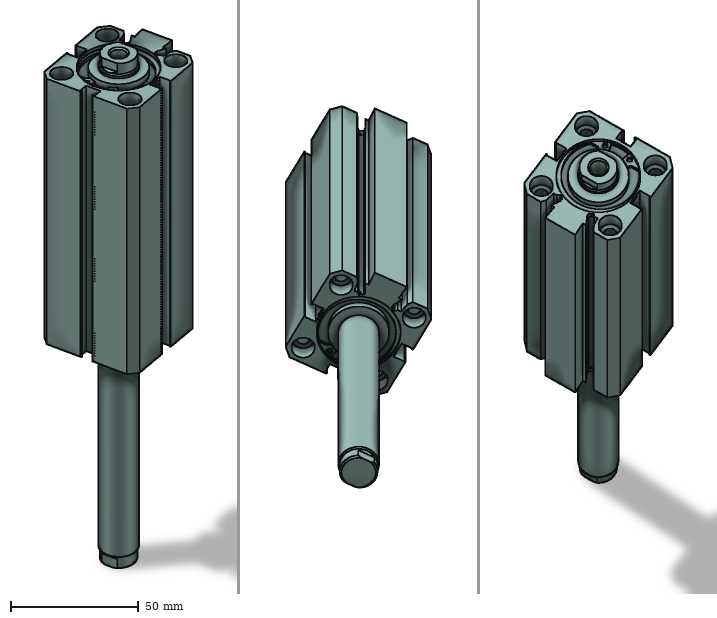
import cadquery as cq
import math


housing_width = 45.0
housing_length = 126.0
half_width = housing_width / 2
rear_y = 22.3
corner_chamfer = 3.5
bore_radius = 16.5

hole_pitch = 32.5
hole_diameter = 5.3
counterbore_diameter = 9.0
counterbore_depth = 7.2

front_slot_mouth_width = 5.0
side_slot_mouth_width = 6.0
slot_inner_width = 6.7
slot_lip = 0.5
side_slot_depth = 5.3
front_slot_depth = 4.5

rail_top_y = 27.4
rail_top_width = 14.2
rail_neck_width = 13.5
rail_hook_width = 16.3
rail_hook_y = 21.4
rail_root_width = 12.5
rail_root_y = 17.5
channel_bottom = (8.0, 15.4)
channel_floor_y = 16.3
channel_floor_inner_x = 9.0
channel_outer_x = 10.3
channel_edge = (11.0, 20.5)
channel_mouth_x = 12.5

groove_radius = 17.0
ring_recess = 1.7
ring_thickness = 1.5
ring_inner_radius = 15.4
ring_inner_offset = 1.32
ear_inner_radius = 12.2
ear_start_angle = 15
ear_end_angle = 32
ear_shoulder_y = 11.8
ear_shoulder_x = 8.0
ear_hole_radius = 1.08
ear_hole_center = (5.8, 13.7)

cover_boss_radius = 12.0
cover_length = 19.2

rod_radius = 16.0 / 2
rod_top_reach = 6.7
rod_total_length = 240.0
tip_radius = 7.5
tip_flats = 13.0
upper_tip_length = 5.0
upper_flat_length = 4.0
lower_tip_chamfer = 0.7
flat_runout = 2.5
shoulder_chamfer = rod_radius - tip_radius
rod_hole_radius = 3.4
rod_hole_depth = 12.0
rod_hole_chamfer = 0.7
drill_point_angle = 120


def mirrored(points):
    """The points with X negated, in reverse order."""
    return [(-x, y) for x, y in reversed(points)]


def ring_point(radius, angle):
    """A point at an angle from the -Y direction, turned toward +X."""
    turn = math.radians(angle)
    return (radius * math.sin(turn), -radius * math.cos(turn))


def flip_end(body):
    """Copy a body from the upper end of the housing to the lower end."""
    return body.mirror("XY", (0, 0, housing_length / 2))


def rail_and_channels():
    """Outline of the +Y side, from the right-hand channel over the rail to the left-hand one."""
    right_side = [
        (channel_mouth_x, rear_y),
        channel_edge,
        (channel_outer_x, channel_floor_y),
        (channel_floor_inner_x, channel_floor_y),
        channel_bottom,
        (rail_root_width / 2, channel_floor_y),
        (rail_root_width / 2, rail_root_y),
        (rail_hook_width / 2, rail_hook_y),
        (rail_neck_width / 2, rail_hook_y),
        (rail_top_width / 2, rail_top_y),
    ]
    return right_side + mirrored(right_side)


def slot_cutter(mouth_width, depth, turn):
    """T-slot along the whole housing, on the -Y side turned about Z by an angle."""
    mouth = cq.Workplane("XY").box(mouth_width, depth, housing_length, centered=(True, False, False))
    inner = cq.Workplane("XY").box(
        slot_inner_width, depth - slot_lip, housing_length, centered=(True, False, False)
    )
    cutter = mouth.union(inner.translate((0, slot_lip, 0)))
    return cutter.translate((0, -half_width, 0)).rotate((0, 0, 0), (0, 0, 1), turn)


def make_housing():
    cut = half_width - corner_chamfer
    right_corners = [
        (cut, -half_width),
        (half_width, -cut),
        (half_width, rear_y - corner_chamfer),
        (cut, rear_y),
    ]
    outline = right_corners + rail_and_channels() + mirrored(right_corners)
    body = cq.Workplane("XY").polyline(outline).close().extrude(housing_length)

    body = body.cut(slot_cutter(front_slot_mouth_width, front_slot_depth, 0))
    for turn in (90, -90):
        body = body.cut(slot_cutter(side_slot_mouth_width, side_slot_depth, turn))

    for end in (">Z", "<Z"):
        body = (
            body.faces(end)
            .workplane(origin=(0, 0, 0))
            .rect(hole_pitch, hole_pitch, forConstruction=True)
            .vertices()
            .cboreHole(hole_diameter, counterbore_diameter, counterbore_depth)
        )

    body = body.cut(cq.Workplane("XY").circle(bore_radius).extrude(housing_length))
    groove_floor = housing_length - ring_recess - ring_thickness
    groove = cq.Workplane("XY").workplane(offset=groove_floor).circle(groove_radius).extrude(ring_thickness)
    return body.cut(groove).cut(flip_end(groove))


def make_cover():
    """Upper end cover: a disc under the retaining ring with a boss flush with the housing end."""
    disc_top = housing_length - ring_recess - ring_thickness
    disc_length = cover_length - ring_recess - ring_thickness
    disc = cq.Workplane("XY").workplane(offset=disc_top).circle(bore_radius).extrude(-disc_length)
    boss = cq.Workplane("XY").workplane(offset=disc_top).circle(cover_boss_radius)
    boss = boss.extrude(housing_length - disc_top)
    rod_hole = cq.Workplane("XY").circle(rod_radius).extrude(housing_length)
    return disc.union(boss).cut(rod_hole)


def make_ring():
    """Upper retaining ring: a band that thins toward the gap on the -Y side and ends in two ears."""
    middle_angle = (ear_start_angle + ear_end_angle) / 2
    inner_end_x = math.sqrt(ring_inner_radius**2 - (ear_shoulder_y - ring_inner_offset) ** 2)
    ring = (
        cq.Workplane("XY")
        .moveTo(*ring_point(groove_radius, ear_start_angle))
        .threePointArc((0, groove_radius), ring_point(groove_radius, -ear_start_angle))
        .lineTo(*ring_point(ear_inner_radius, -ear_start_angle))
        .threePointArc(
            ring_point(ear_inner_radius, -middle_angle),
            ring_point(ear_inner_radius, -ear_end_angle),
        )
        .lineTo(-ear_shoulder_x, -ear_shoulder_y)
        .lineTo(-inner_end_x, -ear_shoulder_y)
        .threePointArc((0, ring_inner_radius - ring_inner_offset), (inner_end_x, -ear_shoulder_y))
        .lineTo(ear_shoulder_x, -ear_shoulder_y)
        .lineTo(*ring_point(ear_inner_radius, ear_end_angle))
        .threePointArc(
            ring_point(ear_inner_radius, middle_angle),
            ring_point(ear_inner_radius, ear_start_angle),
        )
        .close()
        .extrude(ring_thickness)
    )
    hole_x, hole_y = ear_hole_center
    hole_centers = [(hole_x, -hole_y), (-hole_x, -hole_y)]
    holes = cq.Workplane("XY").pushPoints(hole_centers).circle(ear_hole_radius).extrude(ring_thickness)
    return ring.cut(holes).translate((0, 0, housing_length - ring_recess - ring_thickness))


def flat_cutter(tip_end, flat_length, direction):
    """Cutter for the flat on the -Y side of a tip; it runs out of the rod at 45 degrees.

    The direction along Z is +1 from the lower end of the rod and -1 from the upper end.
    """
    flat_y = -tip_flats / 2
    flat_root = tip_end + direction * flat_length
    profile = [
        (flat_y, tip_end),
        (flat_y, flat_root),
        (flat_y - flat_runout, flat_root + direction * flat_runout),
        (flat_y - flat_runout, tip_end),
    ]
    return cq.Workplane("YZ").polyline(profile).close().extrude(rod_radius, both=True)


def revolved(half_section):
    """Solid turned about Z from a half section on the -Y side."""
    return cq.Workplane("YZ").polyline(half_section).close().revolve(360, (0, 0, 0), (0, 1, 0))


def make_rod():
    rod_top = housing_length + rod_top_reach
    rod_bottom = rod_top - rod_total_length
    top_shoulder = rod_top - upper_tip_length
    bottom_shoulder = rod_bottom + upper_tip_length + lower_tip_chamfer

    rod = revolved([
        (0, rod_bottom),
        (-tip_radius + lower_tip_chamfer, rod_bottom),
        (-tip_radius, rod_bottom + lower_tip_chamfer),
        (-tip_radius, bottom_shoulder),
        (-rod_radius, bottom_shoulder + shoulder_chamfer),
        (-rod_radius, top_shoulder - shoulder_chamfer),
        (-tip_radius, top_shoulder),
        (-tip_radius, rod_top),
        (0, rod_top),
    ])

    for flat in (
        flat_cutter(rod_top, upper_flat_length, -1),
        flat_cutter(rod_bottom, upper_flat_length + lower_tip_chamfer, 1),
    ):
        rod = rod.cut(flat).cut(flat.mirror("XZ"))

    hole_floor = rod_top - rod_hole_depth
    drill_point_length = rod_hole_radius / math.tan(math.radians(drill_point_angle / 2))
    hole = revolved([
        (0, rod_top),
        (-rod_hole_radius - rod_hole_chamfer, rod_top),
        (-rod_hole_radius, rod_top - rod_hole_chamfer),
        (-rod_hole_radius, hole_floor),
        (0, hole_floor - drill_point_length),
    ])
    return rod.cut(hole)


housing = make_housing()
rod = make_rod()
cover = make_cover()
ring = make_ring()

end_bodies = []
for upper_body in (cover, ring):
    end_bodies.append(upper_body.val())
    end_bodies.append(flip_end(upper_body).val())

result = cq.Compound.makeCompound([housing.val(), rod.val(), *end_bodies])